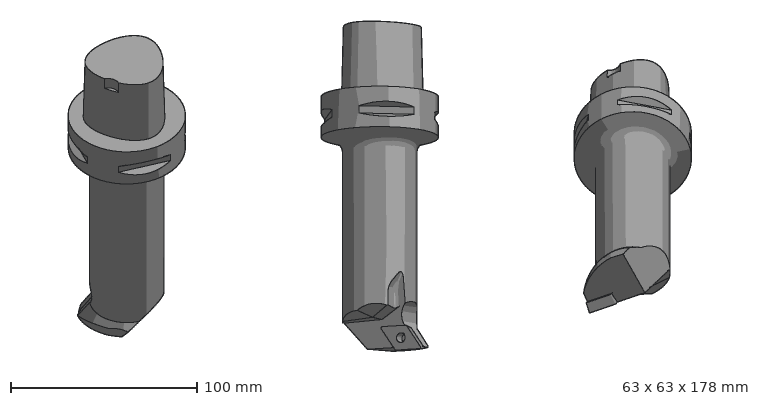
import cadquery as cq
import math

TOTAL_LENGTH = 178.0

COUPLING_LENGTH = 37.5
COUPLING_RADIUS = 21.9
LOBE_HEIGHT = 1.51
COUPLING_TAPER = 0.025
LOBES = 3
SPLINE_POINTS = 9
KEYWAY_RADIUS = 6.0
KEYWAY_DEPTH = 1.8
KEYWAY_LENGTH = 6.4

FLANGE_RADIUS = 63.0 / 2
FLANGE_LENGTH = 22.0
NECK_CONE_ANGLE = 17.0
NECK_FILLET = 6.4
SHANK_RADIUS = 40.0 / 2
GRIPPER_SLOTS = 4
FIRST_SLOT_ANGLE = 45.0
SLOT_FLOOR_DISTANCE = 27.8
SLOT_FLOOR_WIDTH = 4.0
SLOT_WALL_ANGLE = 30.0
SLOT_DROP = 12.3
SLOT_CLEARANCE = 1.8

REACH = TOTAL_LENGTH - COUPLING_LENGTH
HEAD_TOP = -126.5
FLARE_SLOPE = 0.62
HEAD_BACK = 22.5
HEAD_ARC_RADIUS = 31.5
HEAD_FACET_ANGLE = 12.0
BACK_CUT_TOP = -119.6
BACK_CUT_ANGLE = 49.4
END_FACE_HEIGHT = -137.6
END_FACE_SLOPE_X = 0.05
END_FACE_SLOPE_Y = -0.11

RAKE_LEAN_X = 0.17
RAKE_LEAN_Z = 0.09

INSERT_SIDE = 16.0
INSERT_ANGLE = 55.0
INSERT_SET_ANGLE = 2.0
INSERT_THICKNESS = 6.2
INSERT_CLEARANCE = 7.0
INSERT_HOLE = 5.2
NOSE_RADIUS = 0.8
NOSE_X = -27.5

FLANK_STEP = 0.8
SCOOP_RADIUS = 10.0
SCOOP_DEPTH_U = 9.8
ROOF_START_X = -15.0
ROOF_START_Z = -117.3
ROOF_TILT = 30.0
ROOF_BEND_Y = 13.4
ROOF_RISE = 40.0
INNER_ROOF_Z = -122.8
INNER_ROOF_RISE = 27.0
GULLET_FLOOR_X = -13.4
GULLET_FLOOR_TOP = -109.3
GULLET_RADIUS = 12.8
GULLET_RUNOUT_ANGLE = 29.0
GULLET_FILLET = 2.5

SPAN = 71.2

nose_tilt = RAKE_LEAN_Z / math.sqrt(1 + RAKE_LEAN_X**2 + RAKE_LEAN_Z**2)
nose_x = NOSE_X + NOSE_RADIUS
nose_z = -REACH + NOSE_RADIUS * math.sqrt(1 - nose_tilt**2)
RAKE = cq.Plane(
    origin=(nose_x, 0, nose_z),
    xDir=(1, RAKE_LEAN_X, 0),
    normal=(RAKE_LEAN_X, -1, RAKE_LEAN_Z),
)


def polygon_wire(radius, height):
    """Three-lobed outline, splined alternately over lobes and flats, with a lobe toward +Y."""

    def point(angle):
        return cq.Vector(
            -radius * math.sin(angle) + LOBE_HEIGHT * math.sin(2 * angle),
            radius * math.cos(angle) + LOBE_HEIGHT * math.cos(2 * angle),
            height,
        )

    step = math.pi / LOBES
    edges = []
    for side in range(2 * LOBES):
        start = (side - 0.5) * step
        points = [point(start + step * i / (SPLINE_POINTS - 1)) for i in range(SPLINE_POINTS)]
        edges.append(cq.Edge.makeSpline(points))
    return cq.Wire.assembleEdges(edges)


def make_coupling():
    """Tapered polygon coupling with a round keyway at the top of its -Y flat."""
    top_radius = COUPLING_RADIUS - COUPLING_TAPER * COUPLING_LENGTH
    wires = [polygon_wire(COUPLING_RADIUS, 0), polygon_wire(top_radius, COUPLING_LENGTH)]
    coupling = cq.Workplane(cq.Solid.makeLoft(wires, True))
    keyway_y = -(top_radius - LOBE_HEIGHT) + KEYWAY_DEPTH - KEYWAY_RADIUS
    keyway = (
        cq.Workplane("XY", origin=(0, keyway_y, COUPLING_LENGTH))
        .circle(KEYWAY_RADIUS)
        .extrude(-KEYWAY_LENGTH)
    )
    return coupling.cut(keyway)


def make_shank():
    """Flange, conical underside, neck fillet and shank as one turned profile."""
    angle = math.radians(NECK_CONE_ANGLE)
    cone_radius = SHANK_RADIUS + NECK_FILLET * (1 - math.sin(angle))
    cone_bottom = -FLANGE_LENGTH - (FLANGE_RADIUS - cone_radius) * math.tan(angle)
    center_z = cone_bottom - NECK_FILLET * math.cos(angle)
    middle = math.pi - (math.pi / 2 - angle) / 2
    arc_middle = (
        SHANK_RADIUS + NECK_FILLET + NECK_FILLET * math.cos(middle),
        center_z + NECK_FILLET * math.sin(middle),
    )
    return (
        cq.Workplane("XZ")
        .moveTo(0, 0)
        .lineTo(FLANGE_RADIUS, 0)
        .lineTo(FLANGE_RADIUS, -FLANGE_LENGTH)
        .lineTo(cone_radius, cone_bottom)
        .threePointArc(arc_middle, (SHANK_RADIUS, center_z))
        .lineTo(SHANK_RADIUS, HEAD_TOP)
        .lineTo(0, HEAD_TOP)
        .close()
        .revolve()
    )


def gripper_slot(angle):
    """Straight slot across the flange rim, with walls that open outward."""
    depth = FLANGE_RADIUS - SLOT_FLOOR_DISTANCE + SLOT_CLEARANCE
    half_floor = SLOT_FLOOR_WIDTH / 2
    half_mouth = half_floor + depth * math.tan(math.radians(SLOT_WALL_ANGLE))
    outer = SLOT_FLOOR_DISTANCE + depth
    return (
        cq.Workplane("XZ", origin=(0, 0, -SLOT_DROP))
        .polyline(
            [
                (SLOT_FLOOR_DISTANCE, -half_floor),
                (outer, -half_mouth),
                (outer, half_mouth),
                (SLOT_FLOOR_DISTANCE, half_floor),
            ]
        )
        .close()
        .extrude(SPAN / 2, both=True)
        .rotate((0, 0, 0), (0, 0, 1), angle)
    )


def make_head():
    """Cone flaring from the shank, trimmed by a curved back, a flat facet and a sloping end."""
    height = REACH + HEAD_TOP
    flare = (
        cq.Workplane("XZ")
        .moveTo(0, HEAD_TOP)
        .lineTo(SHANK_RADIUS, HEAD_TOP)
        .lineTo(SHANK_RADIUS + FLARE_SLOPE * height, -REACH)
        .lineTo(0, -REACH)
        .close()
        .revolve()
    )
    arc_center_y = HEAD_ARC_RADIUS - HEAD_BACK
    diagonal = HEAD_ARC_RADIUS * math.sqrt(0.5)
    facet_rise = SPAN * math.tan(math.radians(HEAD_FACET_ANGLE))
    outline = (
        cq.Workplane("XY", origin=(0, 0, -REACH))
        .moveTo(SPAN, facet_rise - HEAD_BACK)
        .lineTo(0, -HEAD_BACK)
        .threePointArc((-diagonal, arc_center_y - diagonal), (-HEAD_ARC_RADIUS, arc_center_y))
        .lineTo(-HEAD_ARC_RADIUS, SPAN)
        .lineTo(SPAN, SPAN)
        .close()
        .extrude(height)
    )
    end_plane = cq.Plane(
        origin=(0, 0, END_FACE_HEIGHT),
        xDir=(1, 0, END_FACE_SLOPE_X),
        normal=(-END_FACE_SLOPE_X, -END_FACE_SLOPE_Y, 1),
    )
    below_end = cq.Workplane(end_plane).rect(2 * SPAN, 2 * SPAN).extrude(-SPAN)
    return flare.intersect(outline).cut(below_end)


def back_cut():
    """Slope that removes the lower +X side of the tool."""
    drop = SPAN * math.tan(math.radians(BACK_CUT_ANGLE))
    return (
        cq.Workplane("XZ")
        .moveTo(SHANK_RADIUS, BACK_CUT_TOP)
        .lineTo(SHANK_RADIUS - SPAN, BACK_CUT_TOP - drop)
        .lineTo(SPAN, BACK_CUT_TOP - drop)
        .lineTo(SPAN, BACK_CUT_TOP)
        .close()
        .extrude(SPAN, both=True)
    )


def under_roof(rise):
    """Space below a roof at height zero that bends up toward +Y by the rise angle."""
    bend_rise = (SPAN - ROOF_BEND_Y) * math.tan(math.radians(rise))
    return (
        cq.Workplane("YZ")
        .polyline([(-SPAN, 0), (ROOF_BEND_Y, 0), (SPAN, bend_rise), (SPAN, -SPAN), (-SPAN, -SPAN)])
        .close()
        .extrude(SPAN, both=True)
    )


def chip_space():
    """Open space in front of the rake plane, under a roof that slopes in from -X and then levels."""
    outer_roof = (
        under_roof(ROOF_RISE)
        .rotate((0, 0, 0), (0, 1, 0), ROOF_TILT)
        .translate((ROOF_START_X, 0, ROOF_START_Z))
    )
    inner_roof = under_roof(INNER_ROOF_RISE).translate((0, 0, INNER_ROOF_Z))
    before_rake = cq.Workplane(RAKE).rect(3 * SPAN, 3 * SPAN).extrude(-SPAN)
    return outer_roof.union(inner_roof).intersect(before_rake)


def gullet():
    """Pocket above the chip space: upright floor, curved run-out, filleted against the rake wall."""
    floor_u = GULLET_FLOOR_X - nose_x
    floor_top = GULLET_FLOOR_TOP - nose_z
    angle = math.radians(GULLET_RUNOUT_ANGLE)

    def on_arc(turn):
        return (
            floor_u - GULLET_RADIUS * (1 - math.cos(turn)),
            floor_top + GULLET_RADIUS * math.sin(turn),
        )

    arc_end = on_arc(angle)
    runout_height = SPAN / 4
    bottom_v = ROOF_START_Z - nose_z - GULLET_RADIUS
    outer_u = arc_end[0] - runout_height * math.tan(angle)
    return (
        cq.Workplane(RAKE)
        .moveTo(floor_u, bottom_v)
        .lineTo(floor_u, floor_top)
        .threePointArc(on_arc(angle / 2), arc_end)
        .lineTo(outer_u, arc_end[1] + runout_height)
        .lineTo(outer_u, bottom_v)
        .close()
        .extrude(-SPAN / 2)
        .faces(cq.DirectionMinMaxSelector(RAKE.zDir))
        .edges()
        .fillet(GULLET_FILLET)
    )


def insert_outline():
    """Corners of the rhombic insert, starting at the sharp nose corner."""
    low = math.radians(INSERT_SET_ANGLE)
    high = math.radians(INSERT_SET_ANGLE + INSERT_ANGLE)
    middle = (low + high) / 2
    corner_reach = NOSE_RADIUS / math.sin((high - low) / 2)
    nose = cq.Vector(-corner_reach * math.cos(middle), -corner_reach * math.sin(middle))
    along_low = cq.Vector(math.cos(low), math.sin(low)) * INSERT_SIDE
    along_high = cq.Vector(math.cos(high), math.sin(high)) * INSERT_SIDE
    return [nose, nose + along_low, nose + along_low + along_high, nose + along_high]


def insert_blank():
    """Insert without its hole; it also cuts the insert seat."""
    corners = [(corner.x, corner.y) for corner in insert_outline()]
    profile = cq.Sketch().polygon(corners + corners[:1]).vertices().fillet(NOSE_RADIUS)
    return cq.Workplane(RAKE).placeSketch(profile).extrude(INSERT_THICKNESS, taper=INSERT_CLEARANCE)


def make_insert():
    """Insert with its screw hole."""
    corners = insert_outline()
    center = (corners[0] + corners[2]) * 0.5
    hole = (
        cq.Workplane(RAKE).center(center.x, center.y).circle(INSERT_HOLE / 2).extrude(INSERT_THICKNESS)
    )
    return insert_blank().cut(hole)


def flank_scoop():
    """Round scoop behind the rake plane that runs tangent into the flank under the insert edge."""
    slant = math.radians(INSERT_SET_ANGLE + INSERT_ANGLE)
    inward = (math.sin(slant), -math.cos(slant))
    edge = NOSE_RADIUS - FLANK_STEP
    center_u = SCOOP_DEPTH_U - SCOOP_RADIUS
    center_v = (edge + SCOOP_RADIUS + center_u * inward[0]) / -inward[1]
    tangent = (center_u + SCOOP_RADIUS * inward[0], center_v + SCOOP_RADIUS * inward[1])
    low_end = (tangent[0] - SPAN / 2 * math.cos(slant), tangent[1] - SPAN / 2 * math.sin(slant))
    return (
        cq.Workplane(RAKE)
        .moveTo(*low_end)
        .lineTo(*tangent)
        .threePointArc((SCOOP_DEPTH_U, center_v), (center_u, center_v + SCOOP_RADIUS))
        .lineTo(low_end[0], center_v + SCOOP_RADIUS)
        .close()
        .extrude(SPAN / 2)
    )


def make_tool():
    """Tool holder from coupling to head, with all cuts and the insert seat."""
    tool = make_shank().union(make_coupling()).union(make_head())
    for slot in range(GRIPPER_SLOTS):
        tool = tool.cut(gripper_slot(FIRST_SLOT_ANGLE + slot * 360 / GRIPPER_SLOTS))
    for cutter in (back_cut(), chip_space(), gullet(), flank_scoop(), insert_blank()):
        tool = tool.cut(cutter)
    return tool


tool = make_tool()
insert = make_insert()

result = cq.Compound.makeCompound([tool.solids().val(), insert.solids().val()])